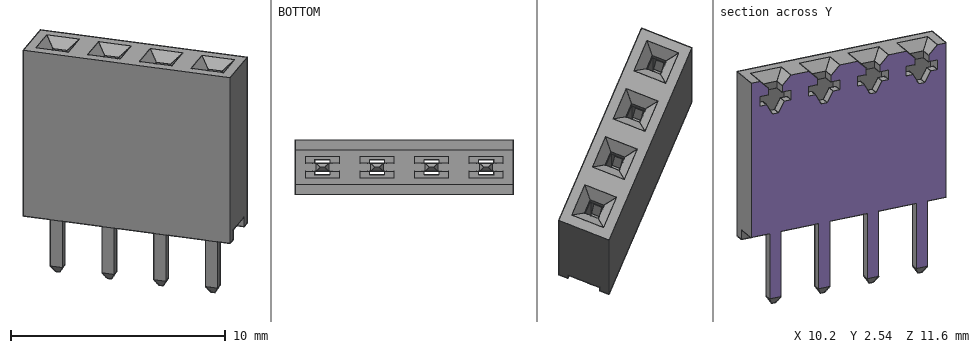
import cadquery as cq
import math

contact_count = 4
pitch = 2.54
overall_height = 11.6

housing_length = contact_count * pitch
housing_width = 2.54
housing_height = 8.42
groove_width = 1.6
groove_depth = 0.5

mouth_size = 1.6
throat_size = 0.7
funnel_depth = (mouth_size - throat_size) / 2
throat_depth = 0.35
cavity_length = mouth_size
cavity_width = 1.0
cavity_top = housing_height - funnel_depth - throat_depth

contact_thickness = 0.4
contact_top_clearance = 0.46
contact_top = cavity_top - contact_top_clearance
notch_floor_width = 0.29
notch_mouth_width = 0.9
taper_angle = math.radians(60)
notch_depth = (notch_mouth_width - notch_floor_width) / 2 * math.tan(taper_angle)

pin_width = 0.6
pin_bottom = housing_height - overall_height
tip_inset = contact_thickness / 2
tip_height = tip_inset * math.tan(taper_angle)


def block(length, width, bottom, top):
    """Box centred on the Z axis, between two heights."""
    box = cq.Workplane("XY").box(length, width, top - bottom, centered=(True, True, False))
    return box.translate((0, 0, bottom))


def make_housing():
    """Rectangular body with a groove along the underside."""
    body = block(housing_length, housing_width, 0, housing_height)
    return body.cut(block(housing_length, groove_width, 0, groove_depth))


def make_opening():
    """Passage from the funnel mouth down to the groove."""
    funnel = (
        cq.Workplane("XY", origin=(0, 0, housing_height))
        .rect(mouth_size, mouth_size)
        .workplane(offset=-funnel_depth)
        .rect(throat_size, throat_size)
        .loft()
    )
    throat = block(throat_size, throat_size, cavity_top, housing_height - funnel_depth)
    cavity = block(cavity_length, cavity_width, groove_depth, cavity_top)
    return funnel.union(throat).union(cavity)


def pin_profile(plane, width, depth):
    """Pin tail of one width, tapering at the tip, extruded to the other width."""
    half = width / 2
    tip_half = half - tip_inset
    outline = [(-half, groove_depth), (-half, pin_bottom + tip_height), (-tip_half, pin_bottom)]
    if tip_half > 0:
        outline.append((tip_half, pin_bottom))
    outline += [(half, pin_bottom + tip_height), (half, groove_depth)]
    return cq.Workplane(plane).polyline(outline).close().extrude(depth / 2, both=True)


def make_pin():
    """Rectangular tail whose four tip faces meet in a short ridge along X."""
    front = pin_profile("XZ", pin_width, contact_thickness)
    side = pin_profile("YZ", contact_thickness, pin_width)
    return front.intersect(side)


def make_contact():
    """Notched plate held between the cavity ends, with a pointed pin tail."""
    plate = block(cavity_length, contact_thickness, groove_depth, contact_top)
    notch = (
        cq.Workplane("XZ")
        .moveTo(-notch_mouth_width / 2, contact_top)
        .lineTo(notch_mouth_width / 2, contact_top)
        .lineTo(notch_floor_width / 2, contact_top - notch_depth)
        .lineTo(-notch_floor_width / 2, contact_top - notch_depth)
        .close()
        .extrude(contact_thickness / 2, both=True)
    )
    return plate.cut(notch).union(make_pin())


result = make_housing()
opening = make_opening()
contact = make_contact()
for index in range(contact_count):
    position = ((index - (contact_count - 1) / 2) * pitch, 0, 0)
    result = result.cut(opening.translate(position))
    result = result.union(contact.translate(position))